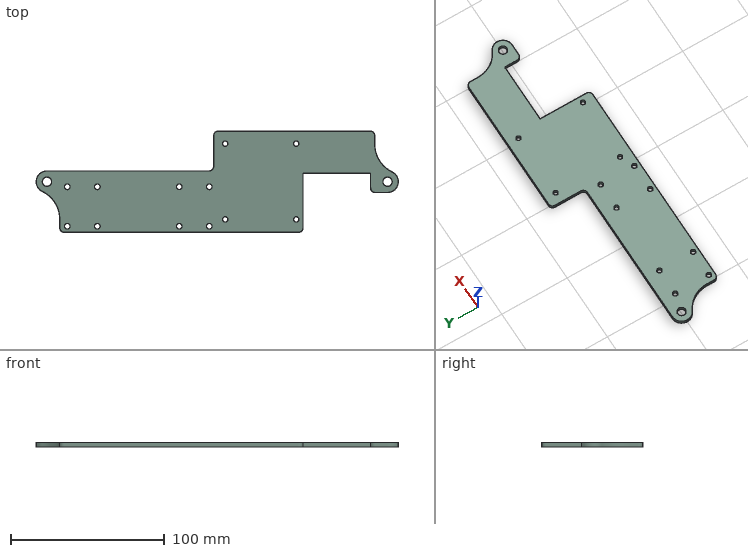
import cadquery as cq
import math

length = 236.0
width = 66.0
thickness = 3.0
half_width = width / 2

lug_radius = 7.0
lug_hole_diameter = 6.0
lug_x = length / 2 - lug_radius

end_x = 102.7
step_x = -2.4
notch_left_x = 56.0
notch_right_x = 99.8
notch_top_y = 5.5
corner_radius = 3.0
sweep_radius = 20.0

left_hole_diameter = 3.5
left_hole_xs = (-97.7, -78.0, -24.8, -5.2)
left_hole_ys = (-29.0, -3.3)
right_hole_diameter = 3.3
right_hole_xs = (5.2, 51.5)
right_hole_ys = (-24.5, 24.8)

sweep_x = end_x + sweep_radius
center_distance = sweep_radius + lug_radius
sweep_y = math.sqrt(center_distance**2 - (sweep_x - lug_x) ** 2)
sweep_angle = math.atan2(sweep_y, sweep_x - lug_x)
tangent_x = lug_x + lug_radius * math.cos(sweep_angle)
tangent_y = lug_radius * math.sin(sweep_angle)
sweep_mid_angle = (math.pi + math.pi + sweep_angle) / 2
sweep_mid_x = sweep_x + sweep_radius * math.cos(sweep_mid_angle)
sweep_mid_y = sweep_y + sweep_radius * math.sin(sweep_mid_angle)
lug_mid_angle = (sweep_angle - math.pi / 2) / 2
lug_mid_x = lug_x + lug_radius * math.cos(lug_mid_angle)
lug_mid_y = lug_radius * math.sin(lug_mid_angle)


def make_plate():
    """Extrude the stepped outline, counterclockwise from the lower left corner."""
    plate = (
        cq.Workplane("XY")
        .moveTo(-end_x, -half_width)
        .lineTo(notch_left_x, -half_width)
        .lineTo(notch_left_x, notch_top_y)
        .lineTo(notch_right_x, notch_top_y)
        .lineTo(notch_right_x, -lug_radius)
        .lineTo(lug_x, -lug_radius)
        .threePointArc((lug_mid_x, lug_mid_y), (tangent_x, tangent_y))
        .threePointArc((sweep_mid_x, sweep_mid_y), (end_x, sweep_y))
        .lineTo(end_x, half_width)
        .lineTo(step_x, half_width)
        .lineTo(step_x, lug_radius)
        .lineTo(-lug_x, lug_radius)
        .threePointArc((-lug_mid_x, -lug_mid_y), (-tangent_x, -tangent_y))
        .threePointArc((-sweep_mid_x, -sweep_mid_y), (-end_x, -sweep_y))
        .close()
        .extrude(thickness)
    )
    rounded_corners = [
        (-end_x, -half_width),
        (notch_left_x, -half_width),
        (notch_right_x, -lug_radius),
        (end_x, half_width),
        (step_x, half_width),
        (step_x, lug_radius),
    ]
    for x, y in rounded_corners:
        corner_edge = cq.selectors.NearestToPointSelector((x, y, thickness / 2))
        plate = plate.edges("|Z").edges(corner_edge).fillet(corner_radius)
    return plate


def drill(plate, diameter, xs, ys):
    """Cut through holes at every combination of the given positions."""
    centers = [(x, y) for x in xs for y in ys]
    drills = cq.Workplane("XY").pushPoints(centers).circle(diameter / 2).extrude(thickness)
    return plate.cut(drills)


result = make_plate()
result = drill(result, lug_hole_diameter, (-lug_x, lug_x), (0,))
result = drill(result, left_hole_diameter, left_hole_xs, left_hole_ys)
result = drill(result, right_hole_diameter, right_hole_xs, right_hole_ys)